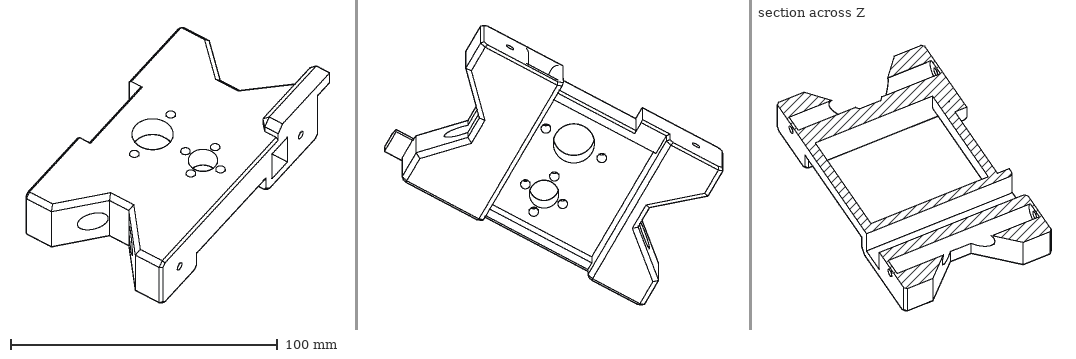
import cadquery as cq

body_width = 62.5
body_length = 104.0
body_height = 24.0
mid_height = body_height / 2

end_chamfer = 2.0
side_chamfer = 1.0

recess_center_x = 31.5
recess_mouth = 38.2
recess_floor = 8.8
front_recess_depth = 17.0
back_recess_depth = 14.0

slot_front_y = 24.3
slot_back_y = 69.0
slot_roof_z = 8.0
notch_front_y = 35.1
notch_back_y = 69.2
notch_depth = 5.0

pocket_wall = 4.0
bored_thickness = 9.0

window_center_y = 78.0
window_length = 10.2
window_height = 14.0
window_rounding = 2.0

hole_row_y = body_length / 2
small_hole_diameter = 3.5
left_bore_x = 22.5
left_bore_diameter = 15.4
left_hole_offset = 12.0
right_bore_x = 45.5
right_bore_diameter = 11.0
right_hole_offset = 8.0

screw_diameter = 3.0
screw_head_diameter = 9.0
screw_end_distance = 12.1
screw_wall = 1.2

lip_width = 9.0
lip_height = 5.5
lip_length = 34.0
lip_overhang = 7.0
lip_chamfer = 2.9
lip_front_y = body_length + lip_overhang - lip_length


def block(x_range, y_range, z_range):
    """Box spanning the given X, Y and Z ranges."""
    size = [high - low for low, high in (x_range, y_range, z_range)]
    corner = (x_range[0], y_range[0], z_range[0])
    return cq.Workplane("XY").box(*size, centered=False).translate(corner)


def rod_along_x(diameter, y, x_start, x_end):
    """Cylinder along X at mid height."""
    section = cq.Workplane("YZ", origin=(x_start, y, mid_height)).circle(diameter / 2)
    return section.extrude(x_end - x_start)


def make_plate():
    """Plate with a V recess in each end and chamfered end edges."""
    mouth_left = recess_center_x - recess_mouth / 2
    mouth_right = recess_center_x + recess_mouth / 2
    floor_left = recess_center_x - recess_floor / 2
    floor_right = recess_center_x + recess_floor / 2
    back_floor_y = body_length - back_recess_depth
    outline = [
        (0, 0),
        (mouth_left, 0),
        (floor_left, front_recess_depth),
        (floor_right, front_recess_depth),
        (mouth_right, 0),
        (body_width, 0),
        (body_width, body_length),
        (mouth_right, body_length),
        (floor_right, back_floor_y),
        (floor_left, back_floor_y),
        (mouth_left, body_length),
        (0, body_length),
    ]
    plate = cq.Workplane("XY").polyline(outline).close().extrude(body_height)

    lip_edge = cq.selectors.BoxSelector(
        (mouth_right, body_length - side_chamfer, mid_height),
        (body_width, body_length + side_chamfer, body_height + side_chamfer),
    )
    end_edges = cq.selectors.StringSyntaxSelector("(not |Y) and (not |Z)") - lip_edge
    return plate.edges(end_edges).chamfer(end_chamfer)


def make_slot():
    """Slot with chamfered lower edges.

    Its back wall stops short by the side chamfer and its back bevel is longer to match, so that
    trimming the wall to its final place leaves that wall's side edges sharp.
    """
    short_back_y = slot_back_y - side_chamfer
    bevel_top_z = end_chamfer + side_chamfer
    profile = [
        (slot_front_y - end_chamfer, 0),
        (slot_front_y, end_chamfer),
        (slot_front_y, slot_roof_z),
        (short_back_y, slot_roof_z),
        (short_back_y, bevel_top_z),
        (slot_back_y + end_chamfer, 0),
    ]
    return cq.Workplane("YZ").polyline(profile).close().extrude(body_width)


def make_slot_trim():
    """Block that takes the back wall of the slot to its final place."""
    return block((0, body_width), (slot_front_y, slot_back_y), (0, slot_roof_z))


def chamfer_sides(body):
    """Break the outlines of both side faces, leaving the top right edge sharp under the lip."""
    body = body.faces("<X").edges().chamfer(side_chamfer)
    body = body.faces(">X").edges("not (|Y and >Z)").chamfer(side_chamfer)
    profile = [
        (body_width - side_chamfer, body_height),
        (body_width, body_height),
        (body_width, body_height - side_chamfer),
    ]
    wedge = cq.Workplane("XZ").polyline(profile).close().extrude(-lip_front_y)
    return body.cut(wedge)


def make_notch():
    """Left side notch, flared at its top and bottom to chamfer the notch face."""
    flare_x = notch_depth + side_chamfer
    profile = [
        (0, slot_roof_z),
        (flare_x, slot_roof_z),
        (notch_depth, slot_roof_z + side_chamfer),
        (notch_depth, body_height - side_chamfer),
        (flare_x, body_height),
        (0, body_height),
    ]
    section = cq.Workplane("XZ", origin=(0, notch_front_y, 0)).polyline(profile).close()
    return section.extrude(notch_front_y - notch_back_y)


def cut_window(body):
    """Cut the window through the body and round its mouth on the left side."""
    plane = cq.Workplane("YZ", origin=(0, window_center_y, mid_height))
    body = body.cut(plane.rect(window_length, window_height).extrude(body_width))
    margin = window_rounding / 2
    reach_y = window_length / 2 + margin
    reach_z = window_height / 2 + margin
    mouth = cq.selectors.BoxSelector(
        (-margin, window_center_y - reach_y, mid_height - reach_z),
        (margin, window_center_y + reach_y, mid_height + reach_z),
    )
    return body.faces("<X").edges(mouth).fillet(window_rounding)


def make_pocket():
    """Pocket above the slot, leaving a wall along each side."""
    return block(
        (notch_depth + pocket_wall, body_width - pocket_wall),
        (slot_front_y, slot_back_y),
        (slot_roof_z, body_height - bored_thickness),
    )


def drill_mounting_holes(body):
    """Drill both bores and the small holes around them."""
    bores = [(left_bore_x, left_bore_diameter), (right_bore_x, right_bore_diameter)]
    small_holes = [(right_bore_x + side * right_hole_offset, hole_row_y) for side in (-1, 1)]
    for bore_x, offset in ((left_bore_x, left_hole_offset), (right_bore_x, right_hole_offset)):
        small_holes += [(bore_x, hole_row_y + side * offset) for side in (-1, 1)]
    for bore_x, diameter in bores:
        bore = cq.Workplane("XY").center(bore_x, hole_row_y).circle(diameter / 2)
        body = body.cut(bore.extrude(body_height))
    drills = cq.Workplane("XY").pushPoints(small_holes).circle(small_hole_diameter / 2)
    return body.cut(drills.extrude(body_height))


def drill_screw_holes(body):
    """Drill the screw holes and their head bores on both sides of each recess."""
    for y in (screw_end_distance, body_length - screw_end_distance):
        body = body.cut(rod_along_x(screw_diameter, y, 0, body_width))
        body = body.cut(rod_along_x(screw_head_diameter, y, screw_wall, body_width - screw_wall))
    return body


def make_lip():
    """Lip with its inner, front and top edges chamfered."""
    lip = block(
        (body_width - lip_width, body_width),
        (lip_front_y, lip_front_y + lip_length),
        (body_height, body_height + lip_height),
    )
    exposed_edges = "(|Z and <X and <Y) or (|Y and <X and >Z) or (|X and <Y and >Z)"
    return lip.edges(exposed_edges).chamfer(lip_chamfer)


body = chamfer_sides(make_plate().cut(make_slot()))
body = cut_window(body)
for tool in (make_slot_trim(), make_pocket(), make_notch()):
    body = body.cut(tool)
body = drill_screw_holes(drill_mounting_holes(body))
result = body.union(make_lip())